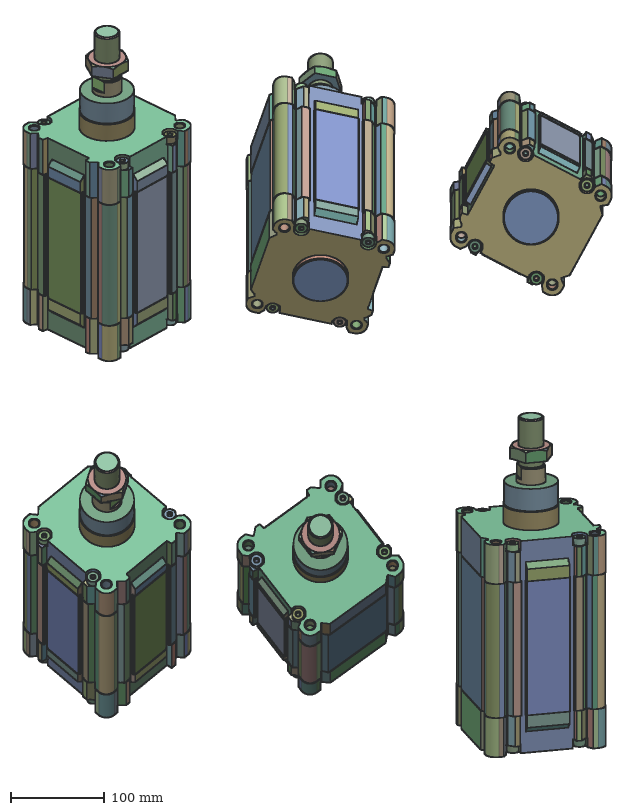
import cadquery as cq
import math

overall_height = 365.0
spigot_height = 6.5
end_cap_height = 44.0
housing_height = 239.5
housing_bottom = spigot_height
housing_top = housing_bottom + housing_height
upper_cap_bottom = housing_top - end_cap_height
collar_step_height = 266.5
collar_top = 292.5
thread_start = 311.5
nut_bottom = 319.5
nut_height = 13.5

cap_half = 66.98
groove_depth = 6.2
recess_floor = cap_half - groove_depth
corner_radius = 11.5
cap_lobe_end = 50.0
cap_groove_outer = 45.3
cap_groove_inner = 43.8
cap_rib_outer = 37.2
cap_rib_inner = 31.5
cap_recess_half = 30.3

barrel_inset = 0.55
barrel_half = cap_half - barrel_inset
barrel_lobe_end = 49.0
barrel_groove_outer = 44.5
barrel_groove_inner = 43.5
barrel_rib_outer = 39.0

slot_rib_side = 29.2
slot_pad_side = 25.0
slot_mouth_chamfer = 1.0
slot_lip_depth = 3.3

pad_half_width = 23.7
pad_end_margin = 24.0
padded_sides = (0, 90, 270)

corner_hole_offset = 55.0
corner_hole_diameter = 10.2
corner_hole_mouth_diameter = 12.0
corner_hole_depth = 20.0
drill_point_angle = 118.0

screw_x = 57.5
screw_y = 37.2
pocket_diameter = 16.5
pocket_depth = 10.2
screw_head_diameter = 13.0
screw_head_height = 8.0
screw_socket_diameter = 4.7
screw_socket_mouth_diameter = 6.0
screw_socket_depth = 4.0

collar_diameter = 60.0
collar_upper_diameter = 58.0
spigot_chamfer = 1.0
rod_diameter = 32.0
thread_diameter = 27.0
thread_chamfer = 1.5
shoulder_chamfer = 1.0
rod_flat_bottom = 297.5
rod_flats_width = 27.0
nut_across_flats = 41.0
nut_chamfer_angle = 30.0


def block_between(x_range, y_range, z_range):
    """Box spanning the given ranges along X, Y and Z."""
    return (
        cq.Workplane("XY")
        .box(x_range[1] - x_range[0], y_range[1] - y_range[0], z_range[1] - z_range[0], centered=False)
        .translate((x_range[0], y_range[0], z_range[0]))
    )


def square_prism(half_width, bottom, height):
    """Square bar with rounded vertical corners."""
    return (
        cq.Workplane("XY", origin=(0, 0, bottom))
        .rect(2 * half_width, 2 * half_width)
        .extrude(height)
        .edges("|Z")
        .fillet(corner_radius)
    )


def side_prism(points, side_angle, bottom, height):
    """Prism drawn on the -Y side and turned about Z onto another side."""
    prism = cq.Workplane("XY", origin=(0, 0, bottom)).polyline(points).close().extrude(height)
    return prism.rotate((0, 0, 0), (0, 0, 1), side_angle)


def cut_grooves(bar, groove, bottom, height):
    """Cut the two mirrored grooves on all four sides.

    groove lists (distance from the middle of the side, distance out from the part axis).
    """
    for side_angle in (0, 90, 180, 270):
        for hand in (-1, 1):
            outline = [(hand * along, -out) for along, out in groove]
            bar = bar.cut(side_prism(outline, side_angle, bottom, height))
    return bar


def barrel():
    """Middle bar with grooves on all sides and undercut slots on the padded sides."""
    bottom = housing_bottom + end_cap_height
    height = housing_height - 2 * end_cap_height
    groove = [
        (barrel_lobe_end, barrel_half),
        (barrel_groove_outer, recess_floor),
        (barrel_groove_inner, recess_floor),
        (barrel_rib_outer, barrel_half),
    ]
    bar = cut_grooves(square_prism(barrel_half, bottom, height), groove, bottom, height)

    lip_inside = barrel_half - slot_lip_depth
    lip_edge = barrel_half - slot_mouth_chamfer
    slot = [
        (slot_rib_side + slot_mouth_chamfer, barrel_half),
        (slot_rib_side, lip_edge),
        (slot_rib_side, lip_inside),
        (cap_recess_half, lip_inside),
        (cap_recess_half, recess_floor),
        (pad_half_width, recess_floor),
        (pad_half_width, lip_inside),
        (slot_pad_side, lip_inside),
        (slot_pad_side, lip_edge),
        (slot_pad_side - slot_mouth_chamfer, barrel_half),
    ]
    for side_angle in padded_sides:
        for hand in (-1, 1):
            outline = [(hand * along, -out) for along, out in slot]
            bar = bar.cut(side_prism(outline, side_angle, bottom, height))
    return bar


def cap_block():
    """Upper end cap with grooves on all sides and a wide recess on the padded sides."""
    groove = [
        (cap_lobe_end, cap_half),
        (cap_groove_outer, recess_floor),
        (cap_groove_inner, recess_floor),
        (cap_rib_outer, cap_half),
    ]
    block = square_prism(cap_half, upper_cap_bottom, end_cap_height)
    block = cut_grooves(block, groove, upper_cap_bottom, end_cap_height)
    recess = [
        (-cap_rib_inner, -cap_half),
        (-cap_recess_half, -recess_floor),
        (cap_recess_half, -recess_floor),
        (cap_rib_inner, -cap_half),
    ]
    for side_angle in padded_sides:
        block = block.cut(side_prism(recess, side_angle, upper_cap_bottom, end_cap_height))
    return block


def pad_end(side_angle):
    """End of a pad standing in the cap recess, finishing in a 45 degree slope."""
    pad_top = housing_top - pad_end_margin
    pad = (
        cq.Workplane("YZ", origin=(-pad_half_width, 0, 0))
        .polyline([
            (-recess_floor, upper_cap_bottom),
            (-cap_half, upper_cap_bottom),
            (-cap_half, pad_top - groove_depth),
            (-recess_floor, pad_top),
        ])
        .close()
        .extrude(2 * pad_half_width)
    )
    return pad.rotate((0, 0, 0), (0, 0, 1), side_angle)


def drilled_hole(x, y, diameter, depth, mouth_diameter):
    """Hole drilled down from the housing top, with a conical point and a chamfered mouth."""
    radius = diameter / 2
    mouth_radius = mouth_diameter / 2
    point_height = radius / math.tan(math.radians(drill_point_angle / 2))
    return (
        cq.Workplane("XZ")
        .polyline([
            (0, 0), (mouth_radius, 0), (radius, radius - mouth_radius), (radius, -depth), (0, -depth - point_height),
        ])
        .close()
        .revolve(360, (0, 0), (0, 1))
        .translate((x, y, housing_top))
    )


def screw_pocket(side_x, side_y):
    """Round-ended pocket at the housing top, open towards the X side."""
    radius = pocket_diameter / 2
    floor = housing_top - pocket_depth
    x = side_x * screw_x
    y = side_y * screw_y
    round_end = cq.Workplane("XY", origin=(x, y, floor)).circle(radius).extrude(pocket_depth)
    x_range = sorted((x, side_x * cap_half))
    return round_end.union(block_between(x_range, (y - radius, y + radius), (floor, housing_top)))


def screw_head(side_x, side_y):
    """Round screw head standing on the pocket floor."""
    return (
        cq.Workplane("XY", origin=(side_x * screw_x, side_y * screw_y, housing_top - pocket_depth))
        .circle(screw_head_diameter / 2)
        .extrude(screw_head_height)
    )


def screw_socket(side_x, side_y):
    """Socket sunk into the top of a screw head."""
    top_of_head = screw_head_height - pocket_depth
    socket = drilled_hole(
        side_x * screw_x, side_y * screw_y,
        screw_socket_diameter, screw_socket_depth, screw_socket_mouth_diameter,
    )
    return socket.translate((0, 0, top_of_head))


def upper_end_cap():
    """End cap at the rod end, complete with pad ends, mounting holes and cap screws."""
    cap = cap_block()
    for side_angle in padded_sides:
        cap = cap.union(pad_end(side_angle))
    for side_x in (-1, 1):
        for side_y in (-1, 1):
            cap = cap.cut(drilled_hole(
                side_x * corner_hole_offset, side_y * corner_hole_offset,
                corner_hole_diameter, corner_hole_depth, corner_hole_mouth_diameter,
            ))
            cap = cap.cut(screw_pocket(side_x, side_y))
            cap = cap.union(screw_head(side_x, side_y))
            cap = cap.cut(screw_socket(side_x, side_y))
    return cap


def make_housing():
    """Barrel between two mirrored end caps, with a stepped collar above and a spigot below."""
    upper_cap = upper_end_cap()
    lower_cap = upper_cap.mirror("XY", (0, 0, housing_bottom + housing_height / 2))
    housing = barrel().union(upper_cap).union(lower_cap)

    collar_radius = collar_diameter / 2
    upper_radius = collar_upper_diameter / 2
    collar = (
        cq.Workplane("XZ")
        .polyline([
            (0, housing_top),
            (collar_radius, housing_top),
            (collar_radius, collar_step_height),
            (upper_radius, collar_step_height + collar_radius - upper_radius),
            (upper_radius, collar_top),
            (0, collar_top),
        ])
        .close()
        .revolve(360, (0, 0), (0, 1))
    )
    spigot = (
        cq.Workplane("XY").circle(collar_radius).extrude(spigot_height).faces("<Z").chamfer(spigot_chamfer)
    )
    return housing.union(collar).union(spigot)


def make_rod():
    """Rod with a pair of wrench flats across Y and a threaded end, standing on the collar."""
    shank = (
        cq.Workplane("XY", origin=(0, 0, collar_top))
        .circle(rod_diameter / 2)
        .extrude(thread_start - collar_top)
        .faces(">Z")
        .chamfer(shoulder_chamfer)
    )
    flat_zone = block_between(
        (-rod_diameter, rod_diameter),
        (-rod_flats_width / 2, rod_flats_width / 2),
        (rod_flat_bottom, thread_start),
    )
    below_flats = block_between(
        (-rod_diameter, rod_diameter), (-rod_diameter, rod_diameter), (collar_top, rod_flat_bottom)
    )
    shank = shank.intersect(flat_zone.union(below_flats))
    thread = (
        cq.Workplane("XY", origin=(0, 0, thread_start))
        .circle(thread_diameter / 2)
        .extrude(overall_height - thread_start)
        .faces(">Z")
        .chamfer(thread_chamfer)
    )
    return shank.union(thread)


def make_nut():
    """Hexagon nut with flats facing X and its upper corners turned to a cone."""
    corner_radius_of_hexagon = nut_across_flats / 2 / math.cos(math.pi / 6)
    face_radius = nut_across_flats / 2
    cone_drop = (corner_radius_of_hexagon - face_radius) * math.tan(math.radians(nut_chamfer_angle))
    nut = (
        cq.Workplane("XY")
        .polygon(6, 2 * corner_radius_of_hexagon)
        .extrude(nut_height)
        .rotate((0, 0, 0), (0, 0, 1), 30)
    )
    turned_blank = (
        cq.Workplane("XZ")
        .polyline([
            (0, 0),
            (corner_radius_of_hexagon, 0),
            (corner_radius_of_hexagon, nut_height - cone_drop),
            (face_radius, nut_height),
            (0, nut_height),
        ])
        .close()
        .revolve(360, (0, 0), (0, 1))
    )
    bore = cq.Workplane("XY").circle(thread_diameter / 2).extrude(nut_height)
    return nut.intersect(turned_blank).cut(bore).translate((0, 0, nut_bottom))


housing = make_housing()
rod = make_rod()
nut = make_nut()

result = cq.Compound.makeCompound([housing.val(), rod.val(), nut.val()])